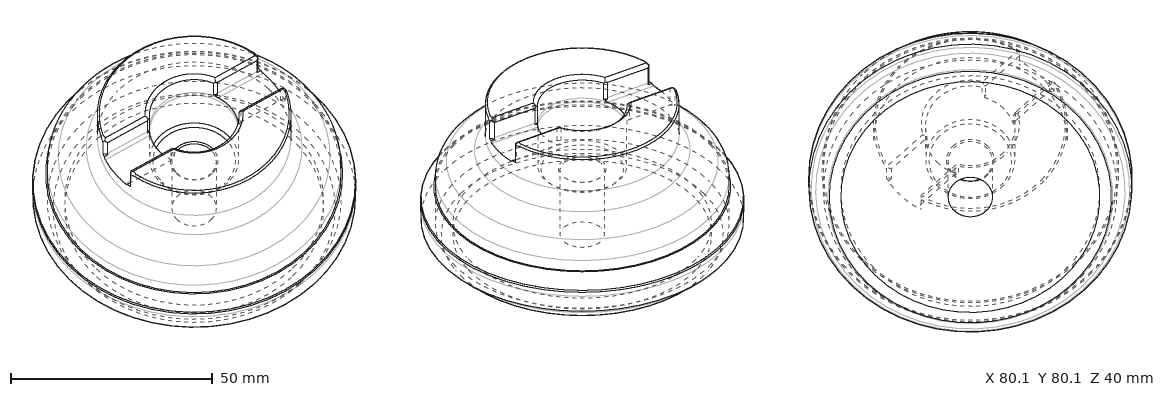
import cadquery as cq
import math

total_height = 40.0
rim_radius = 40.05

neck_radius = 48.0 / 2
collar_radius = 72.7 / 2
shoulder_slope = 27.0
shoulder_corner_z = 20.75
neck_corner_z = shoulder_corner_z + (collar_radius - neck_radius) * math.tan(math.radians(shoulder_slope))
shoulder_fillet = 5.0
neck_chamfer = 0.5

entry_radius = 22.2 / 2
bore_radius = 22.0 / 2
bolt_hole_radius = 11.0 / 2
bore_depth = 20.0
bore_chamfer = 1.05
bore_floor_chamfer = 0.8
bolt_hole_chamfer = 0.4

slot_width = 10.4
slot_depth = 6.3
slot_floor_fillet = 0.8
slot_edge_chamfer = 1.0
slot_mouth_y = 22.35
slot_inner_y = 10.5
inner_flare_slope = 0.4
outer_flare_slope = 1.0
flare_length = 1.9
mouth_bevel_width = 15.4
slot_floor_z = total_height - slot_depth
entry_below_slot = 0.2
entry_taper_length = 1.05
past_edge = 4.0
edge_margin = 0.1

ring_top_z = 14.6
ring_top_radius = 36.8
ring_foot_radius = 34.9
foot_land_radius = 35.2
foot_land_z = 0.25
lower_bevel_z = 3.3
lower_bevel_radius = foot_land_radius + lower_bevel_z - foot_land_z
lower_corner = [(39.4, 4.25), (40.0, 4.9)]
rim_low_z = 9.45
rim_high_z = 10.65
upper_bevel_z = 11.1
upper_bevel_radius = 39.9

seat_z = lower_bevel_z
spigot_radius = 32.0


def revolve_profile(points):
    """Solid of revolution about Z from (radius, z) points."""
    return cq.Workplane("XZ").polyline(points).close().revolve(360, (0, 0, 0), (0, 1, 0))


def circle_edge_at(radius, z):
    """Selector for the horizontal circle of the given radius and height."""
    def within(reach):
        low = (-reach, -reach, z - edge_margin)
        high = (reach, reach, z + edge_margin)
        return cq.selectors.BoxSelector(low, high, boundingbox=True)

    return within(radius + edge_margin) - within(radius - edge_margin)


def hub_blank():
    """Turned outside of the hub, without bore or slot."""
    blank = revolve_profile([
        (0, 0),
        (spigot_radius, 0),
        (spigot_radius, seat_z),
        (collar_radius, seat_z),
        (collar_radius, shoulder_corner_z),
        (neck_radius, neck_corner_z),
        (neck_radius, total_height),
        (0, total_height),
    ])
    blank = blank.edges(circle_edge_at(collar_radius, shoulder_corner_z)).fillet(shoulder_fillet)
    blank = blank.edges(circle_edge_at(neck_radius, neck_corner_z)).fillet(shoulder_fillet)
    return blank.faces(">Z").edges().chamfer(neck_chamfer)


def bore_cutter():
    """Stepped bore with chamfered entry, chamfered floor and a bolt hole through the bottom."""
    floor_z = total_height - bore_depth
    entry_end_z = slot_floor_z - entry_below_slot
    profile = (
        cq.Workplane("XZ")
        .moveTo(0, 0)
        .lineTo(bolt_hole_radius, 0)
        .lineTo(bolt_hole_radius, floor_z - bolt_hole_chamfer)
        .lineTo(bolt_hole_radius + bolt_hole_chamfer, floor_z)
        .lineTo(bore_radius - bore_floor_chamfer, floor_z)
        .lineTo(bore_radius, floor_z + bore_floor_chamfer)
        .lineTo(bore_radius, entry_end_z - entry_taper_length)
        .lineTo(entry_radius, entry_end_z)
        .lineTo(entry_radius, total_height - bore_chamfer)
        .lineTo(entry_radius + bore_chamfer, total_height)
        .lineTo(0, total_height)
        .close()
    )
    return profile.revolve(360, (0, 0, 0), (0, 1, 0))


def slot_cutter():
    """Slot along Y with a rounded floor and chamfered top edges."""
    half = slot_width / 2
    length = 2 * (neck_radius + past_edge)
    channel = (
        cq.Workplane("XY", origin=(0, 0, slot_floor_z))
        .box(slot_width, length, slot_depth, centered=(True, True, False))
        .faces("<Z").edges("|Y").fillet(slot_floor_fillet)
    )
    edge_chamfers = (
        cq.Workplane("XZ")
        .polyline([
            (-half - slot_edge_chamfer, total_height),
            (half + slot_edge_chamfer, total_height),
            (half, total_height - slot_edge_chamfer),
            (-half, total_height - slot_edge_chamfer),
        ])
        .close()
        .extrude(length / 2, both=True)
    )
    return channel.union(edge_chamfers)


def slot_flare(start_y, direction_y, slope):
    """Wedge that widens the slot from start_y, toward +Y or -Y as direction_y is 1 or -1."""
    half = slot_width / 2
    end_y = start_y + direction_y * flare_length
    wide_half = half + slope * flare_length
    height = slot_depth - slot_floor_fillet / 2
    return (
        cq.Workplane("XY", origin=(0, 0, total_height - height))
        .polyline([(-half, start_y), (half, start_y), (wide_half, end_y), (-wide_half, end_y)])
        .close()
        .extrude(height)
    )


def mouth_bevel(side):
    """45 degree bevel across the top edge of the neck at one end of the slot."""
    start = side * slot_mouth_y
    end = side * (slot_mouth_y + past_edge)
    return (
        cq.Workplane("YZ")
        .polyline([(start, total_height), (end, total_height), (end, total_height - past_edge)])
        .close()
        .extrude(mouth_bevel_width / 2, both=True)
    )


def make_hub():
    hub = hub_blank().cut(bore_cutter()).cut(slot_cutter())
    for side in (-1, 1):
        hub = hub.cut(slot_flare(side * slot_mouth_y, side, outer_flare_slope))
        hub = hub.cut(slot_flare(side * slot_inner_y, -side, inner_flare_slope))
        hub = hub.cut(mouth_bevel(side))
    return hub


def make_cutting_ring():
    """Ring around the hub: stepped inside to seat the collar and spigot, bevelled outside."""
    return revolve_profile([
        (spigot_radius, 0),
        (ring_foot_radius, 0),
        (foot_land_radius, foot_land_z),
        (lower_bevel_radius, lower_bevel_z),
        *lower_corner,
        (rim_radius, rim_low_z),
        (rim_radius, rim_high_z),
        (upper_bevel_radius, upper_bevel_z),
        (ring_top_radius, ring_top_z),
        (collar_radius, ring_top_z),
        (collar_radius, seat_z),
        (spigot_radius, seat_z),
    ])


hub = make_hub()
cutting_ring = make_cutting_ring()

result = cq.Compound.makeCompound([hub.val(), cutting_ring.val()])